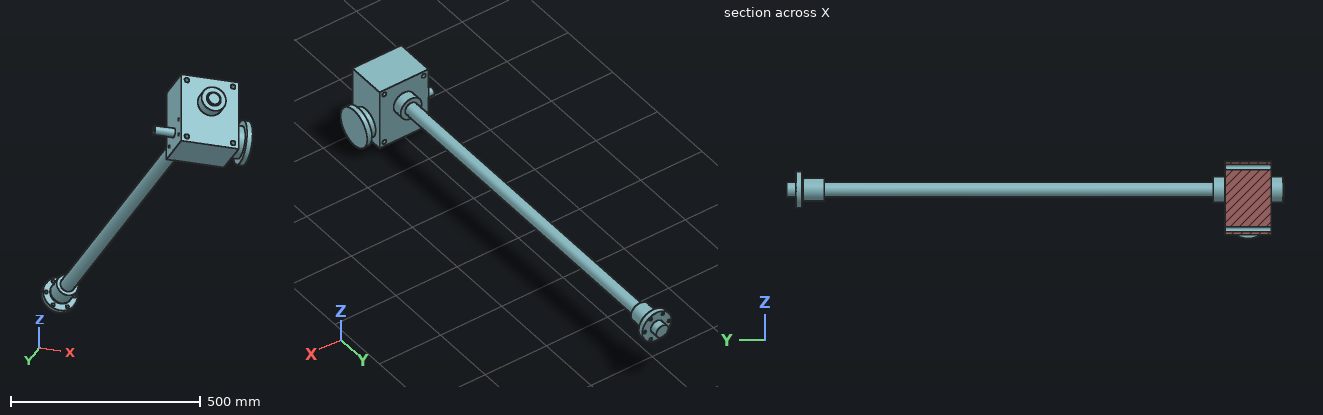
import cadquery as cq
import math


HOUSING_WIDTH = 160.0
HOUSING_DEPTH = 122.0
HOUSING_HEIGHT = 195.0
SCREW_HEIGHT = 120.0
SHAFT_HEIGHT = 50.0
COLLAR_DIAMETER = 68.0
COLLAR_LENGTH = 32.0
MOUNT_HOLE_DIAMETER = 13.0
MOUNT_SPACING_X = 129.0
MOUNT_SPACING_Z = 165.0
COVER_HOLE_DIAMETER = 6.7
COVER_HOLE_DEPTH = 13.0
COVER_BOLT_CIRCLE = 88.0
COVER_HOLE_ANGLES = (30, 150, 210, 330)

SHAFT_DIAMETER = 25.0
SHAFT_LENGTH = 55.0
CENTER_HOLE_DIAMETER = 7.0
CENTER_HOLE_DEPTH = 13.0

HUB_DIAMETER = 88.0
HUB_LENGTH = 24.0
FLANGE_DIAMETER = 120.0
FLANGE_THICKNESS = 16.0

SCREW_DIAMETER = 40.0
SCREW_LENGTH = 1315.0
SCREW_CHAMFER = 3.3
SCREW_OVERHANG = 3.3

NUT_DIAMETER = 60.0
NUT_LENGTH = 75.0
NUT_FLANGE_DIAMETER = 96.0
NUT_FLANGE_THICKNESS = 16.0
NECK_DIAMETER = 55.0
NECK_LENGTH = 4.0
NUT_END_GAP = 25.0
NUT_HOLE_DIAMETER = 9.0
NUT_BOLT_CIRCLE = 79.0
NUT_HOLE_COUNT = 6

HOUSING_BOTTOM = -SCREW_HEIGHT
SHAFT_Z = HOUSING_BOTTOM + SHAFT_HEIGHT
HOUSING_CENTER_Z = HOUSING_BOTTOM + HOUSING_HEIGHT / 2
LEFT_FACE = -HOUSING_WIDTH / 2
RIGHT_FACE = HOUSING_WIDTH / 2
COLLAR_END = HOUSING_DEPTH / 2 + COLLAR_LENGTH
SCREW_FRONT = -COLLAR_END - SCREW_OVERHANG
SCREW_BACK = SCREW_FRONT + SCREW_LENGTH
NUT_BACK = SCREW_BACK - NUT_END_GAP


def rod_x(diameter, start, length):
    """Cylinder on the worm shaft axis, from x = start toward +X."""
    plane = cq.Workplane("YZ", origin=(start, 0, SHAFT_Z))
    return plane.circle(diameter / 2).extrude(length)


def rod_y(diameter, start, length):
    """Cylinder on the screw axis, from y = start toward +Y."""
    plane = cq.Workplane("XZ", origin=(0, start, 0))
    return plane.circle(diameter / 2).extrude(-length)


def make_housing():
    block = cq.Workplane("XY").box(HOUSING_WIDTH, HOUSING_DEPTH, HOUSING_HEIGHT)
    body = block.translate((0, 0, HOUSING_CENTER_Z))
    body = body.union(rod_y(COLLAR_DIAMETER, -COLLAR_END, 2 * COLLAR_END))
    body = body.cut(rod_y(SCREW_DIAMETER, -COLLAR_END, 2 * COLLAR_END))

    mount_holes = (
        cq.Workplane("XZ", origin=(0, -HOUSING_DEPTH / 2, HOUSING_CENTER_Z))
        .rect(MOUNT_SPACING_X, MOUNT_SPACING_Z, forConstruction=True)
        .vertices()
        .circle(MOUNT_HOLE_DIAMETER / 2)
        .extrude(-HOUSING_DEPTH)
    )
    body = body.cut(mount_holes)

    for angle in COVER_HOLE_ANGLES:
        y = COVER_BOLT_CIRCLE / 2 * math.cos(math.radians(angle))
        z = COVER_BOLT_CIRCLE / 2 * math.sin(math.radians(angle))
        hole = rod_x(COVER_HOLE_DIAMETER, LEFT_FACE, COVER_HOLE_DEPTH)
        body = body.cut(hole.translate((0, y, z)))
    return body


def make_worm_shaft():
    shaft = rod_x(SHAFT_DIAMETER, LEFT_FACE - SHAFT_LENGTH, SHAFT_LENGTH)
    return shaft.cut(rod_x(CENTER_HOLE_DIAMETER, LEFT_FACE - SHAFT_LENGTH, CENTER_HOLE_DEPTH))


def make_motor_flange():
    hub = rod_x(HUB_DIAMETER, RIGHT_FACE, HUB_LENGTH)
    return hub.union(rod_x(FLANGE_DIAMETER, RIGHT_FACE + HUB_LENGTH, FLANGE_THICKNESS))


def make_screw():
    screw = rod_y(SCREW_DIAMETER, SCREW_FRONT, SCREW_LENGTH)
    return screw.faces("<Y").chamfer(SCREW_CHAMFER)


def make_nut():
    front = NUT_BACK - NUT_LENGTH
    flange_face = NUT_BACK - NUT_FLANGE_THICKNESS
    barrel = rod_y(NUT_DIAMETER, front, flange_face - NECK_LENGTH - front)
    neck = rod_y(NECK_DIAMETER, front, flange_face - front)
    flange = rod_y(NUT_FLANGE_DIAMETER, flange_face, NUT_FLANGE_THICKNESS)
    nut = barrel.union(neck).union(flange)
    nut = nut.cut(rod_y(SCREW_DIAMETER, front, NUT_LENGTH))
    bolt_holes = (
        cq.Workplane("XZ", origin=(0, NUT_BACK, 0))
        .polarArray(NUT_BOLT_CIRCLE / 2, 0, 360, NUT_HOLE_COUNT)
        .circle(NUT_HOLE_DIAMETER / 2)
        .extrude(NUT_FLANGE_THICKNESS)
    )
    return nut.cut(bolt_holes)


housing = make_housing()
worm_shaft = make_worm_shaft()
motor_flange = make_motor_flange()
screw = make_screw()
nut = make_nut()

result = cq.Compound.makeCompound(
    [housing.val(), worm_shaft.val(), motor_flange.val(), screw.val(), nut.val()]
)